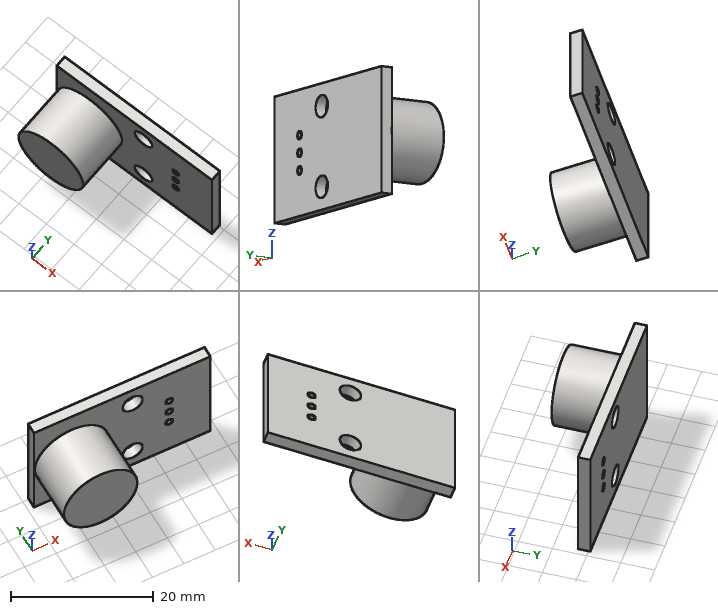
import cadquery as cq

BOARD_LENGTH = 28.1
BOARD_HEIGHT = 18.1
BOARD_THICKNESS = 1.8

BUZZER_DIAMETER = 11.7
BUZZER_DEPTH = 8.7
BUZZER_X = -8.06

MOUNT_HOLE_DIAMETER = 3.18
MOUNT_HOLE_X = 1.65
MOUNT_HOLE_SPACING = 11.52

SLEEVE_OUTER_DIAMETER = 1.2
SLEEVE_BORE_DIAMETER = 0.9
SLEEVE_X = 7.47
SLEEVE_PITCH = 2.53
SLEEVE_COUNT = 3

mount_hole_points = [(MOUNT_HOLE_X, side * MOUNT_HOLE_SPACING / 2) for side in (-1, 1)]
sleeve_points = [
    (SLEEVE_X, (index - (SLEEVE_COUNT - 1) / 2) * SLEEVE_PITCH) for index in range(SLEEVE_COUNT)
]


def make_board():
    """Board with its buzzer can, pierced by the mounting holes and sleeve seats."""
    plate = cq.Workplane("XZ").rect(BOARD_LENGTH, BOARD_HEIGHT).extrude(-BOARD_THICKNESS)
    mount_holes = (
        cq.Workplane("XZ")
        .pushPoints(mount_hole_points)
        .circle(MOUNT_HOLE_DIAMETER / 2)
        .extrude(-BOARD_THICKNESS)
    )
    sleeve_seats = (
        cq.Workplane("XZ")
        .pushPoints(sleeve_points)
        .circle(SLEEVE_OUTER_DIAMETER / 2)
        .extrude(-BOARD_THICKNESS)
    )
    buzzer = cq.Workplane("XZ").center(BUZZER_X, 0).circle(BUZZER_DIAMETER / 2).extrude(BUZZER_DEPTH)
    return plate.cut(mount_holes).cut(sleeve_seats).union(buzzer)


def make_sleeve(x, z):
    """Tube through the full board thickness, flush with both faces."""
    return (
        cq.Workplane("XZ")
        .center(x, z)
        .circle(SLEEVE_OUTER_DIAMETER / 2)
        .circle(SLEEVE_BORE_DIAMETER / 2)
        .extrude(-BOARD_THICKNESS)
    )


board = make_board()
sleeves = [make_sleeve(x, z) for x, z in sleeve_points]

result = cq.Compound.makeCompound([board.val(), *[sleeve.val() for sleeve in sleeves]])